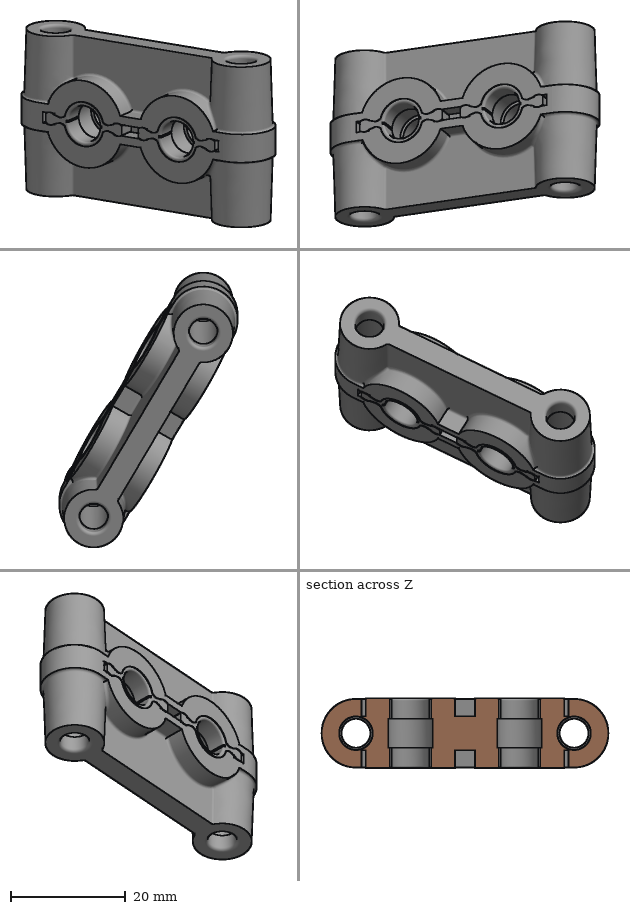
import cadquery as cq
import math

length = 50.0
height = 29.0
half_height = height / 2
band_thickness = 12.0
band_radius = band_thickness / 2
band_half_height = 2.55
disc_radius = 7.85
post_x = length / 2 - band_radius
port_x = 9.5
foot_fillet = 0.45

draft_angle = 1.8
draft = math.tan(math.radians(draft_angle))
post_end_radius = 5.15
web_end_half = 2.05
post_mid_radius = post_end_radius + half_height * draft
web_mid_half = web_end_half + half_height * draft

post_bore_radius = 2.5
post_collar_depth = 3.25
post_cavity_radius = 2.9
post_rim_fillet = 0.6

port_radius = 3.25
port_rim_fillet = 0.4
collar_radius = 6.2
collar_depth = 3.5
port_cavity_radius = 3.85

seal_rise = 0.1
seal_face = band_radius + seal_rise
seal_ring_radius = 4.0

wing_root_x, wing_root_z = 3.85, 0.95
flare_x, flare_z = 4.3, 0.65
neck_x, neck_z = 4.95, 0.5
bulb_start_x, bulb_start_z = 6.0, 0.8
bulb_peak_x, bulb_peak_z = 6.9, 1.15
bulb_end_x, bulb_end_z = 7.8, 0.85

slot_reach = 8.5
slot_height = 2.0
slot_depth = 3.0
split_reach = 3.6
split_height = 0.3


def both_sides(shape, plane):
    """Return the shape joined to its mirror image."""
    return shape.union(shape.mirror(plane))


def cylinders_along_y(radius, half_length):
    """One cylinder on each port axis, centred on the XZ plane."""
    ports = cq.Workplane("XZ").pushPoints([(-port_x, 0), (port_x, 0)])
    return ports.circle(radius).extrude(half_length, both=True)


def post():
    """Post at +X that tapers from the middle towards both ends."""
    upper = (
        cq.Workplane("XY")
        .center(post_x, 0)
        .circle(post_mid_radius)
        .workplane(offset=half_height)
        .circle(post_end_radius)
        .loft()
    )
    return both_sides(upper, "XY")


def web():
    """Drafted wall between the posts."""
    outline = [
        (-web_mid_half, 0),
        (-web_end_half, half_height),
        (web_end_half, half_height),
        (web_mid_half, 0),
        (web_end_half, -half_height),
        (-web_end_half, -half_height),
    ]
    return cq.Workplane("YZ").polyline(outline).close().extrude(post_x, both=True)


def band():
    """Round-ended belt with a disc around each port."""
    belt = (
        cq.Workplane("XY")
        .slot2D(length, band_thickness)
        .extrude(band_half_height, both=True)
    )
    return belt.union(cylinders_along_y(disc_radius, band_radius))


def is_foot(edge):
    """Tell whether an edge is an inner corner below the band faces and away from the ends."""
    box = edge.BoundingBox()
    below_face = max(-box.ymin, box.ymax) < band_radius - foot_fillet
    on_end = min(abs(box.zmin), abs(box.zmax)) > half_height - foot_fillet
    return below_face and not on_end


def housing():
    """Posts, web and band with rounded inner corners."""
    body = web().union(both_sides(post(), "YZ")).union(band())
    feet = [edge for edge in body.edges().vals() if is_foot(edge)]
    return body.newObject(feet).fillet(foot_fillet)


def slots():
    """Blind slots on both faces: one between the ports and one outside each."""
    pocket = (
        cq.Workplane("XZ", origin=(0, slot_depth - band_radius, 0))
        .rect(2 * (port_x + slot_reach), slot_height)
        .extrude(slot_depth)
    )
    return both_sides(pocket, "XZ").cut(cylinders_along_y(collar_radius, band_radius))


def seal():
    """Raised ring centred on a port axis, with a bulb-ended wing on either side."""
    wing = (
        cq.Workplane("XZ")
        .moveTo(0, wing_root_z)
        .lineTo(wing_root_x, wing_root_z)
        .threePointArc((flare_x, flare_z), (neck_x, neck_z))
        .lineTo(bulb_start_x, bulb_start_z)
        .threePointArc((bulb_peak_x, bulb_peak_z), (bulb_end_x, bulb_end_z))
        .lineTo(bulb_end_x, 0)
        .lineTo(0, 0)
        .close()
        .extrude(seal_face, both=True)
    )
    ring = cq.Workplane("XZ").circle(seal_ring_radius).extrude(seal_face, both=True)
    return ring.union(both_sides(both_sides(wing, "XY"), "YZ"))


def flared_bore(plane, radius, half_length, rim_fillet, collar, cavity_radius):
    """Half of a bore about the plane's vertical axis, from its wider middle to its rounded rim."""
    rim_centre_radius = radius + rim_fillet
    rim_centre_height = half_length - rim_fillet
    arc_offset = rim_fillet * math.sqrt(0.5)
    rim_middle = (rim_centre_radius - arc_offset, rim_centre_height + arc_offset)
    return (
        cq.Workplane(plane)
        .lineTo(cavity_radius, 0)
        .lineTo(cavity_radius, half_length - collar)
        .lineTo(radius, half_length - collar)
        .lineTo(radius, rim_centre_height)
        .threePointArc(rim_middle, (rim_centre_radius, half_length))
        .lineTo(0, half_length)
        .close()
        .revolve(360, (0, 0, 0), (0, 1, 0))
    )


def post_bore():
    """Full-height bore centred on a post axis."""
    upper = flared_bore(
        "XZ", post_bore_radius, half_height, post_rim_fillet, post_collar_depth, post_cavity_radius
    )
    return both_sides(upper, "XY")


def port_bore():
    """Bore centred on a port axis, with a thin split along its sides."""
    back = flared_bore(
        "XY", port_radius, seal_face, port_rim_fillet, seal_rise + collar_depth, port_cavity_radius
    )
    split = cq.Workplane("XY").box(2 * split_reach, 2 * seal_face, split_height)
    return both_sides(back, "XZ").union(split)


result = housing().cut(slots())
for side in (-1, 1):
    result = result.union(seal().translate((side * port_x, 0, 0)))
    result = result.cut(port_bore().translate((side * port_x, 0, 0)))
    result = result.cut(post_bore().translate((side * post_x, 0, 0)))